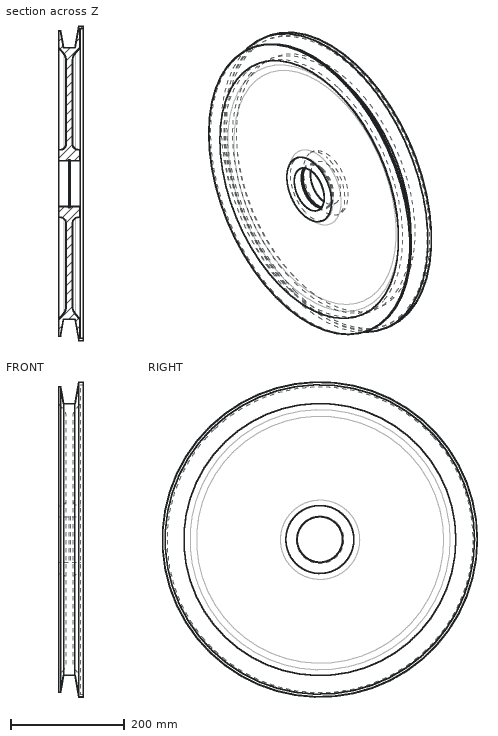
import cadquery as cq
import math

overall_width = 44.0
body_width = 38.0

small_flange_radius = 540.0 / 2
large_flange_radius = 556.0 / 2
collar_inner_radius = 546.0 / 2
groove_bottom_radius = 480.0 / 2
groove_wall_angle = math.radians(10)
groove_bottom_width = 20.0

recess_mouth_radius = 240.0
recess_depth = 13.0
recess_wall_angle = math.radians(50)
recess_fillet = 18.0

hub_radius = 120.0 / 2
hub_fillet = 10.0
bore_radius = 80.0 / 2
ring_groove_radius = 83.5 / 2
ring_groove_width = 2.65


def revolve_about_x(profile):
    """Close an (x, radius) profile and revolve it a full turn about the X axis."""
    return profile.close().revolve(360, (0, 0, 0), (1, 0, 0))


def make_cylinder(radius, start, end):
    """Cylinder along X between two x positions."""
    return cq.Workplane("YZ").workplane(offset=start).circle(radius).extrude(end - start)


def make_blank():
    """Solid disc with the tapered running groove, collar included."""
    taper = math.tan(groove_wall_angle)
    small_wall_foot = (body_width - groove_bottom_width) / 2
    small_wall_top = small_wall_foot - (small_flange_radius - groove_bottom_radius) * taper
    large_wall_foot = small_wall_foot + groove_bottom_width
    large_wall_top = large_wall_foot + (large_flange_radius - groove_bottom_radius) * taper
    profile = (
        cq.Workplane("XY")
        .lineTo(0, small_flange_radius)
        .lineTo(small_wall_top, small_flange_radius)
        .lineTo(small_wall_foot, groove_bottom_radius)
        .lineTo(large_wall_foot, groove_bottom_radius)
        .lineTo(large_wall_top, large_flange_radius)
        .lineTo(overall_width, large_flange_radius)
        .lineTo(overall_width, collar_inner_radius)
        .lineTo(body_width, collar_inner_radius)
        .lineTo(body_width, 0)
    )
    return revolve_about_x(profile)


def arc_middle(centre, radius, start_angle, end_angle):
    """Point halfway along an arc, angles measured from +X."""
    angle = (start_angle + end_angle) / 2
    return (centre[0] + radius * math.cos(angle), centre[1] + radius * math.sin(angle))


def make_recess():
    """Ring-shaped cutter for the recess at x = 0, with both floor corners rounded."""
    outer_fillet_end = math.pi / 2 - recess_wall_angle
    wall_foot_x = recess_depth - recess_fillet * (1 - math.cos(outer_fillet_end))
    wall_foot_radius = recess_mouth_radius - wall_foot_x * math.tan(recess_wall_angle)
    floor_outer_radius = wall_foot_radius - recess_fillet * math.sin(outer_fillet_end)
    outer_centre = (recess_depth - recess_fillet, floor_outer_radius)

    floor_inner_radius = hub_radius + hub_fillet
    inner_centre = (recess_depth - hub_fillet, floor_inner_radius)

    profile = (
        cq.Workplane("XY")
        .moveTo(0, hub_radius)
        .lineTo(0, recess_mouth_radius)
        .lineTo(wall_foot_x, wall_foot_radius)
        .threePointArc(
            arc_middle(outer_centre, recess_fillet, outer_fillet_end, 0),
            (recess_depth, floor_outer_radius),
        )
        .lineTo(recess_depth, floor_inner_radius)
        .threePointArc(
            arc_middle(inner_centre, hub_fillet, 0, -math.pi / 2),
            (inner_centre[0], hub_radius),
        )
    )
    return revolve_about_x(profile)


def make_bore():
    """Through bore with a retaining-ring groove at mid-width."""
    ring_groove_start = (body_width - ring_groove_width) / 2
    ring_groove_end = ring_groove_start + ring_groove_width
    ring_groove = make_cylinder(ring_groove_radius, ring_groove_start, ring_groove_end)
    return make_cylinder(bore_radius, 0, body_width).union(ring_groove)


recess = make_recess()
opposite_recess = recess.mirror("YZ").translate((body_width, 0, 0))

result = make_blank().cut(recess).cut(opposite_recess).cut(make_bore())